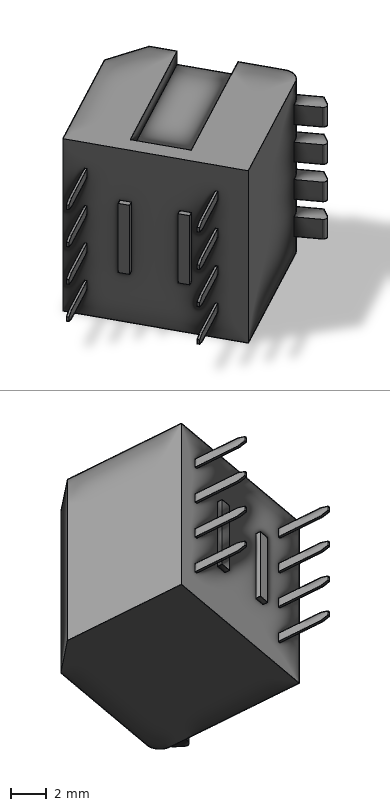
import cadquery as cq
import math

OVERALL_DEPTH = 13.5

HOUSING_WIDTH = 10.8
HOUSING_DEPTH = 10.0
HOUSING_HEIGHT = 11.72
CORNER_CHAMFER = 2.0
CORNER_RADIUS = 0.9

CHANNEL_WIDTH = 3.55
CHANNEL_DEPTH = 0.9
CHANNEL_FRONT_WALL = 1.0

RIB_WIDTH = 0.68
RIB_LENGTH = 4.7
RIB_HEIGHT = 0.32
RIB_SPACING = 3.5

SWITCH_COUNT = 4
SWITCH_PITCH = 2.54
SWITCH_LEVELS = [(i - (SWITCH_COUNT - 1) / 2) * SWITCH_PITCH for i in range(SWITCH_COUNT)]

LEVER_WIDTH = 1.34
LEVER_THICKNESS = 1.03
LEVER_TILT = 8.0
LEVER_FRONT_Y = 8.78
LEVER_REACH = 1.98
LEVER_TIP_SLANT = 0.47
LEVER_TIP_RADIUS = 0.25
LEVER_ROOT = 0.5

PIN_LENGTH = OVERALL_DEPTH - HOUSING_DEPTH
PIN_WIDTH = 0.6
PIN_THICKNESS = 0.15
PIN_TIP_WIDTH = 0.3
PIN_TIP_LENGTH = 0.5
PIN_ROW_SPACING = 7.61
PIN_ROW_CENTRE = 5.15


def make_block():
    """Housing block with one chamfered and one rounded rear corner."""
    block = cq.Workplane("XY").box(
        HOUSING_WIDTH, HOUSING_DEPTH, HOUSING_HEIGHT, centered=(False, False, True)
    )
    block = block.edges("|Z and <X and >Y").chamfer(CORNER_CHAMFER)
    return block.edges("|Z and >X and >Y").fillet(CORNER_RADIUS)


def make_channel():
    """Cutter for the shallow channel in the upper face."""
    return cq.Workplane("XY").box(
        CHANNEL_WIDTH, HOUSING_DEPTH, CHANNEL_DEPTH, centered=(True, False, False)
    ).translate((HOUSING_WIDTH / 2, CHANNEL_FRONT_WALL, HOUSING_HEIGHT / 2 - CHANNEL_DEPTH))


def make_rib(x):
    """Standoff rib standing out of the front face."""
    return cq.Workplane("XY").box(
        RIB_WIDTH, RIB_HEIGHT, RIB_LENGTH
    ).translate((x, -RIB_HEIGHT / 2, 0))


def make_lever(z):
    """Tilted lever with a slanted tip, drawn along X and then turned about its root."""
    tilt = math.radians(LEVER_TILT)
    length = LEVER_REACH / math.cos(tilt)
    lever = (
        cq.Workplane("XY")
        .polyline([
            (-LEVER_ROOT, 0),
            (length, 0),
            (length - LEVER_TIP_SLANT, LEVER_THICKNESS),
            (-LEVER_ROOT, LEVER_THICKNESS),
        ])
        .close()
        .extrude(LEVER_WIDTH / 2, both=True)
        .edges("|Z and >X")
        .fillet(LEVER_TIP_RADIUS)
    )
    return lever.rotate((0, 0, 0), (0, 0, 1), LEVER_TILT).translate((HOUSING_WIDTH, LEVER_FRONT_Y, z))


def make_housing():
    """Housing with its channel, ribs and levers as one solid."""
    housing = make_block().cut(make_channel())
    for side in (-1, 1):
        housing = housing.union(make_rib(HOUSING_WIDTH / 2 + side * RIB_SPACING / 2))
    for z in SWITCH_LEVELS:
        housing = housing.union(make_lever(z))
    return housing


def make_pin(x, z):
    """Flat pin on the front face, tapering to a narrower tip."""
    half_width = PIN_WIDTH / 2
    half_tip = PIN_TIP_WIDTH / 2
    taper_start = PIN_TIP_LENGTH - PIN_LENGTH
    return (
        cq.Workplane("YZ")
        .polyline([
            (0, -half_width),
            (taper_start, -half_width),
            (-PIN_LENGTH, -half_tip),
            (-PIN_LENGTH, half_tip),
            (taper_start, half_width),
            (0, half_width),
        ])
        .close()
        .extrude(PIN_THICKNESS / 2, both=True)
        .translate((x, 0, z))
    )


housing = make_housing()
pins = [
    make_pin(PIN_ROW_CENTRE + side * PIN_ROW_SPACING / 2, z)
    for side in (-1, 1)
    for z in SWITCH_LEVELS
]

result = cq.Compound.makeCompound([housing.val(), *[pin.val() for pin in pins]])